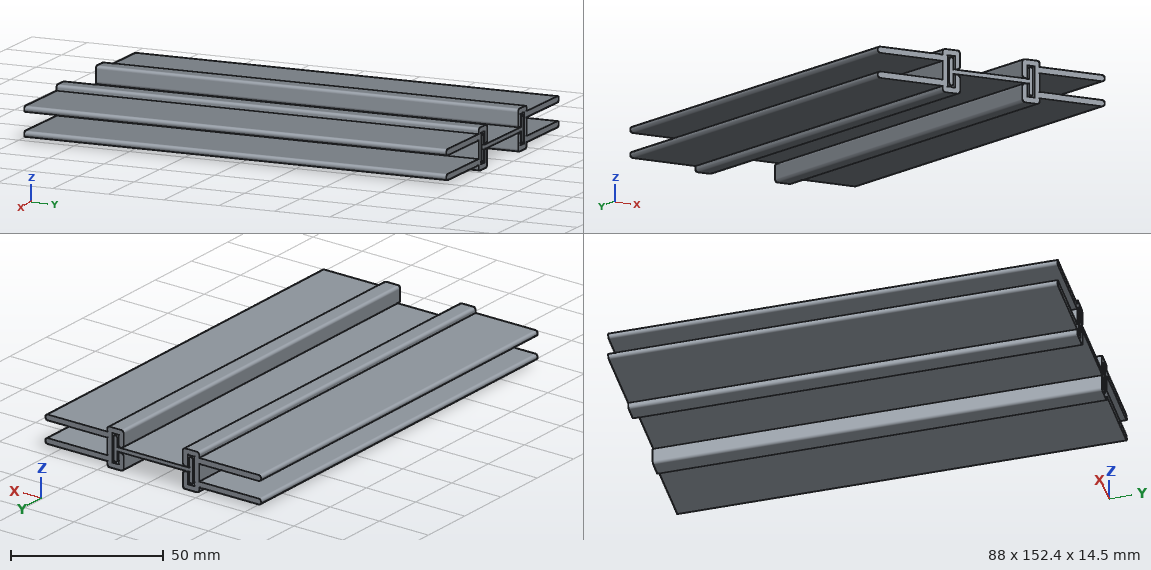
import cadquery as cq

length = 152.4
overall_width = 88.0
channel_height = 14.5

channel_width = 6.7
channel_inner_x = 12.0
wall = 2.0
slot_height = 1.8
flange_thickness = 2.1
corner_radius = 1.0

web_thickness = 1.5
bar_thickness = 1.5
bar_height = 9.5
bar_gap = 0.6

channel_outer_x = channel_inner_x + channel_width
channel_center_x = channel_inner_x + channel_width / 2
cavity_width = channel_width - 2 * wall
cavity_height = channel_height - 2 * wall
flange_center_z = (cavity_height - flange_thickness) / 2
bar_center_x = channel_outer_x - wall - bar_gap - bar_thickness / 2


def bar(width, height, x):
    """Full-length rectangular bar centred on the X axis at x."""
    return cq.Workplane("XY").box(width, length, height).translate((x, 0, 0))


def rod(diameter, x, z):
    """Full-length round rod centred at (x, z)."""
    return cq.Workplane("XZ").center(x, z).circle(diameter / 2).extrude(length / 2, both=True)


def make_flange(side):
    """Flange on the outer channel wall with a full-round long edge; side is +1 up, -1 down."""
    nose_radius = flange_thickness / 2
    nose_x = overall_width / 2 - nose_radius
    return (
        cq.Workplane("XZ")
        .moveTo(channel_outer_x, -nose_radius)
        .lineTo(nose_x, -nose_radius)
        .threePointArc((overall_width / 2, 0), (nose_x, nose_radius))
        .lineTo(channel_outer_x, nose_radius)
        .close()
        .extrude(length / 2, both=True)
        .translate((0, 0, side * flange_center_z))
    )


def make_right_channel():
    """Channel on the +X side, with a slot facing the centre whose outer mouth is rounded."""
    box = bar(channel_width, channel_height, channel_center_x).edges("|Y").fillet(corner_radius)
    cavity = bar(cavity_width, cavity_height, channel_center_x)
    slot = bar(wall, slot_height, channel_inner_x + wall / 2)
    channel = box.cut(cavity).cut(slot)
    mouth_edges = cq.selectors.BoxSelector(
        (channel_inner_x - wall / 2, -length, -slot_height),
        (channel_inner_x + wall / 2, length, slot_height),
    )
    channel = channel.edges("|Y").edges(mouth_edges).fillet(corner_radius)
    for side in (1, -1):
        channel = channel.union(make_flange(side))
    return channel


def make_channels():
    """Two mirrored channels, each a separate solid."""
    right_channel = make_right_channel()
    return [right_channel.val(), right_channel.mirror("YZ").val()]


def make_web_panel():
    """Thin sheet with a full-round crossbar along each long edge."""
    bar_end_z = (bar_height - bar_thickness) / 2
    panel = bar(2 * bar_center_x, web_thickness, 0)
    for edge in (1, -1):
        panel = panel.union(bar(bar_thickness, 2 * bar_end_z, edge * bar_center_x))
        for side in (1, -1):
            panel = panel.union(rod(bar_thickness, edge * bar_center_x, side * bar_end_z))
    return panel


channels = make_channels()
web_panel = make_web_panel()

result = cq.Compound.makeCompound([*channels, web_panel.val()])